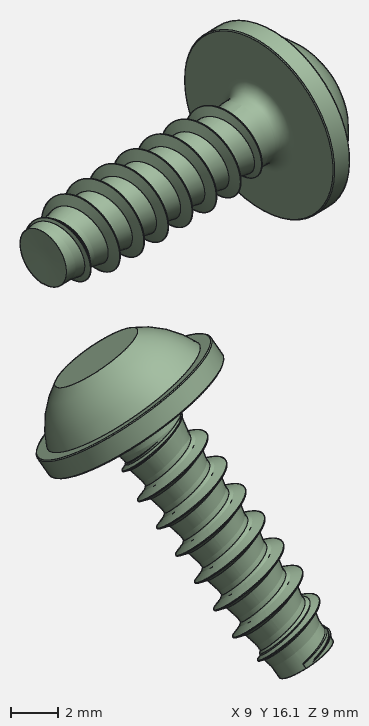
import cadquery as cq
import math


head_height = 3.09
head_top_radius = 2.13
dome_base_radius = 3.93
washer_diameter = 9.0
washer_radius = washer_diameter / 2
washer_thickness = 1.0
washer_edge_break = 0.05
dome_span = head_height - washer_thickness
dome_center_y = (head_height + washer_thickness) / 2 - (
    dome_base_radius**2 - head_top_radius**2
) / (2 * dome_span)
dome_radius = math.hypot(head_top_radius, head_height - dome_center_y)

total_length = 16.1
shank_length = total_length - head_height
neck_radius = 1.6
neck_fillet = 0.6
neck_end_y = -1.0
core_diameter = 2.79
core_radius = core_diameter / 2
neck_taper_end_y = -2.03
tip_recess_radius = 1.32
tip_recess_depth = 0.11

crest_radius = 2.03
crest_width = 0.05
flank_angle = 22
first_crest_y = -0.6
start_angle = 90
turns = 8.5
helix_length = 12.38
pitch = helix_length / turns
start_crest_radius = 1.6
lead_in_turns = 1.25
run_out_start = 7.0
fin_run_out_slope = 0.42
fin_depth = 0.72
collar_run_out_slope = 0.1
collar_head_offset = -0.35
collar_top_start = -0.2
collar_top_end = 0.2
collar_tip_offset = 0.93
collar_head_radius = 1.58
collar_tip_radius = 1.55
collar_foot_radius = 1.38
collar_inner_radius = 1.13
segment_turns = 0.5
steps_per_segment = 12


def revolve_about_axis(outline):
    """Revolve an XY outline about Y and turn its seam to the Z direction."""
    return outline.revolve(360, (0, 0, 0), (0, 1, 0)).rotate((0, 0, 0), (0, 1, 0), -90)


def dome_point(y):
    """Point of the dome outline at height y."""
    return (math.sqrt(dome_radius**2 - (y - dome_center_y) ** 2), y)


def make_blank():
    """Head, neck and plain core, revolved about Y."""
    arc_middle = neck_fillet * (1 - math.sqrt(0.5))
    outline = (
        cq.Workplane("XY")
        .moveTo(0, head_height)
        .lineTo(head_top_radius, head_height)
        .threePointArc(
            dome_point((head_height + washer_thickness) / 2),
            (dome_base_radius, washer_thickness),
        )
        .lineTo(washer_radius - washer_edge_break, washer_thickness)
        .lineTo(washer_radius, washer_thickness - washer_edge_break)
        .lineTo(washer_radius, washer_edge_break)
        .lineTo(washer_radius - washer_edge_break, 0)
        .lineTo(neck_radius + neck_fillet, 0)
        .threePointArc(
            (neck_radius + arc_middle, -arc_middle),
            (neck_radius, -neck_fillet),
        )
        .lineTo(neck_radius, neck_end_y)
        .lineTo(core_radius, neck_taper_end_y)
        .lineTo(core_radius, -shank_length)
        .lineTo(0, -shank_length)
        .close()
    )
    return revolve_about_axis(outline)


def collar_drop(turn):
    """How far the collar lies below its full radius, at a number of turns from the start."""
    return collar_run_out_slope * max(0, turn - run_out_start)


def crest_drop(turn):
    """How far the crest lies below its full radius, at a number of turns from the start."""
    lead_in = (crest_radius - start_crest_radius) * max(0, 1 - turn / lead_in_turns)
    run_out = fin_run_out_slope * max(0, turn - run_out_start)
    return lead_in + run_out


def helix_edge(offset, radius, drop, first_turn):
    """One segment of a helical edge; drop(turn) is taken off its radius."""
    points = []
    for i in range(steps_per_segment + 1):
        turn = first_turn + segment_turns * i / steps_per_segment
        angle = math.radians(start_angle + 360 * turn)
        r = radius - drop(turn)
        y = first_crest_y - offset - pitch * turn
        points.append(cq.Vector(r * math.cos(angle), y, r * math.sin(angle)))
    return cq.Edge.makeSpline(points)


def end_face(edges, position):
    """Flat face across the start (0) or end (1) of a set of helical edges."""
    corners = [edge.positionAt(position) for edge in edges]
    return cq.Face.makeFromWires(cq.Wire.makePolygon(corners, close=True))


def helical_band(section, drop):
    """Solid that carries a polygon of (offset, radius) corners along the helix."""
    segments = []
    for i in range(round(turns / segment_turns)):
        first_turn = i * segment_turns
        segments.append([helix_edge(offset, radius, drop, first_turn) for offset, radius in section])
    faces = [end_face(segments[0], 0), end_face(segments[-1], 1)]
    for edges in segments:
        neighbours = edges[1:] + edges[:1]
        faces += [cq.Face.makeRuledSurface(a, b) for a, b in zip(edges, neighbours)]
    return cq.Solid.makeSolid(cq.Shell.makeShell(faces)).fix()


def make_fin():
    """Sharp fin that rises out of the neck and sinks into the core near the tip."""
    half_crest = crest_width / 2
    half_root = half_crest + fin_depth * math.tan(math.radians(flank_angle))
    root_radius = crest_radius - fin_depth
    section = [
        (-half_root, root_radius),
        (-half_crest, crest_radius),
        (half_crest, crest_radius),
        (half_root, root_radius),
    ]
    return cq.Workplane(helical_band(section, crest_drop))


def make_collar():
    """Collar under the fin that tapers toward the tip over each turn."""
    section = [
        (collar_head_offset, collar_inner_radius),
        (collar_head_offset, collar_foot_radius),
        (collar_top_start, collar_head_radius),
        (collar_top_end, collar_tip_radius),
        (collar_tip_offset, collar_foot_radius),
        (collar_tip_offset, collar_inner_radius),
    ]
    return cq.Workplane(helical_band(section, collar_drop))


def make_tip_recess():
    """Shallow cone sunk into the end face."""
    outline = cq.Workplane("XY").polyline(
        [
            (0, -shank_length),
            (tip_recess_radius, -shank_length),
            (0, tip_recess_depth - shank_length),
        ]
    )
    return revolve_about_axis(outline.close())


thread_space = (
    cq.Workplane("XZ", origin=(0, neck_end_y, 0))
    .circle(washer_radius)
    .extrude(shank_length + neck_end_y)
)
result = make_blank()
for thread_part in (make_collar(), make_fin()):
    result = result.union(thread_part.intersect(thread_space))
result = result.cut(make_tip_recess())